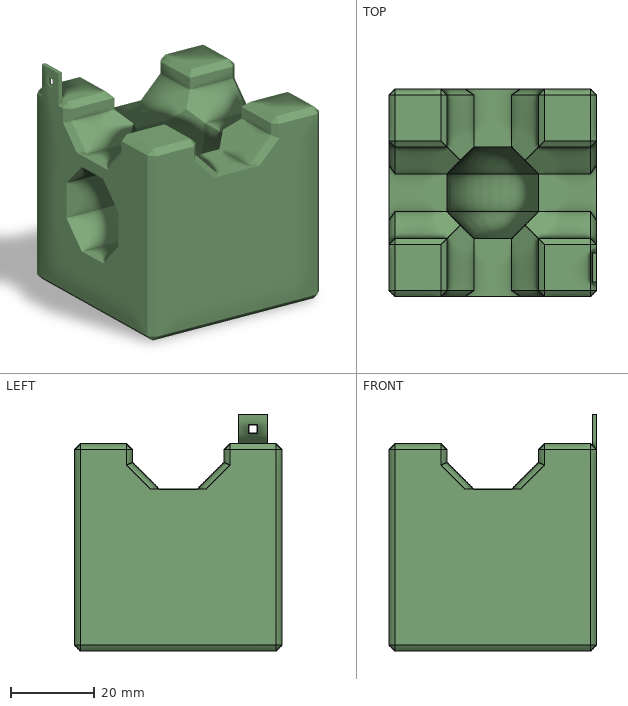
import cadquery as cq
import math

side = 50.0
chamfer = 1.5

channel_width = 22.0
octagon_diameter = channel_width / math.cos(math.pi / 8)
groove_floor = side - channel_width / 2

bend_radius = 13.0
exit_height = side / 2
bend_start = exit_height + bend_radius

total_height = 57
tab_height = total_height - side
tab_width = tab_height
tab_thickness = 1.0
tab_hole = 2.0
tab_y = -(side / 2 + channel_width / 2) / 2

tolerance = 0.005


def octagon(plane):
    """Channel section with flats facing the axes of the plane."""
    radius = octagon_diameter / 2
    angles = [math.pi / 8 + corner * math.pi / 4 for corner in range(8)]
    corners = [(radius * math.cos(angle), radius * math.sin(angle)) for angle in angles]
    return cq.Workplane(plane).polyline(corners).close()


def groove(plane_name):
    """Octagonal bar through the whole block, centred on its top face."""
    plane = cq.Plane.named(plane_name, origin=(0, 0, side))
    return octagon(plane).extrude(side, both=True)


def on_outer_face(edge):
    """True for edges in a face of the cube, except the groove floor ends."""
    box = edge.BoundingBox()
    if abs(box.zmin - groove_floor) < tolerance and box.zlen < tolerance:
        return False
    limits = (
        (box.xmin, box.xmax, -side / 2, side / 2),
        (box.ymin, box.ymax, -side / 2, side / 2),
        (box.zmin, box.zmax, 0, side),
    )
    for low, high, first_face, last_face in limits:
        on_first_face = abs(high - first_face) < tolerance
        on_last_face = abs(low - last_face) < tolerance
        if on_first_face or on_last_face:
            return True
    return False


def grooved_block():
    """Cube with two crossing grooves and its outer edges chamfered."""
    block = cq.Workplane("XY").box(side, side, side, centered=(True, True, False))
    block = block.cut(groove("XZ")).cut(groove("YZ"))
    outer_edges = [edge for edge in block.edges().vals() if on_outer_face(edge)]
    return block.newObject(outer_edges).chamfer(chamfer)


def bore():
    """Vertical drop, quarter bend and horizontal exit of the channel."""
    bend_plane = cq.Plane.named("XY", origin=(0, 0, bend_start))
    exit_plane = cq.Plane.named("YZ", origin=(bend_radius, 0, exit_height))
    drop = octagon(bend_plane).extrude(side - bend_start)
    bend = octagon(bend_plane).revolve(90, (bend_radius, 0, 0), (bend_radius, -1, 0))
    outlet = octagon(exit_plane).extrude(side / 2 - bend_radius)
    return drop, bend, outlet


def tab():
    """Thin upright plate, flush with the +X face, with a square hole."""
    root = side - chamfer
    plate = cq.Workplane("XY").box(tab_thickness, tab_width, total_height - root)
    plate = plate.translate((side / 2 - tab_thickness / 2, tab_y, (total_height + root) / 2))
    hole = cq.Workplane("XY").box(2 * tab_thickness, tab_hole, tab_hole)
    hole = hole.translate((side / 2 - tab_thickness / 2, tab_y, side + tab_height / 2))
    return plate.cut(hole)


body = grooved_block()
for passage in bore():
    body = body.cut(passage)
result = body.union(tab())